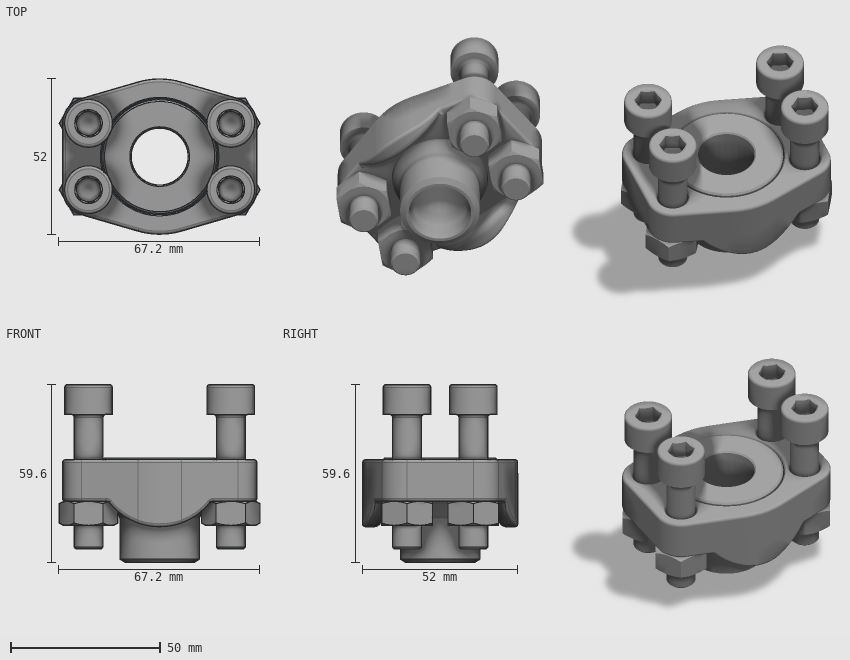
import cadquery as cq
import math

bolt_spacing_x = 47.6
bolt_spacing_y = 22.2

flange_length = 65.0
flange_width = 52.0
flange_thickness = 14.0
flange_edge_radius = 1.0
lobe_radius = 21.5
lobe_axis_z = -1.0
trough_half_width = 19.65
lobe_rounding = 2.5
lobe_blend_radius = 1.4
clearance_diameter = 10.5
clearance_chamfer = 0.5
pocket_diameter = 38.9
pocket_chamfer = 0.4
neck_hole_diameter = 32.15

ferrule_projection = 0.6
ferrule_length = 35.1
head_diameter = 38.1
head_thickness = 6.75
head_chamfer = 0.6
neck_diameter = 31.6
neck_end_z = -14.4
taper_end_z = -19.4
taper_blend_radius = 1.0
pipe_diameter = 26.7
pipe_bore = 20.9
throat_bore = 19.0
throat_length = 3.4
throat_chamfer = 0.5
bevel_width = 1.9
bevel_height = 1.2

screw_diameter = 9.73
screw_length = 45.0
screw_head_diameter = 16.0
screw_head_height = 10.0
screw_head_rounding = 1.0
screw_seat_z = 15.1
screw_neck_radius = 1.0
screw_tip_chamfer = 0.6
socket_flats = 8.0
socket_angle = 40.0
socket_depth = 6.0
socket_cone_slope = math.tan(math.radians(30))

nut_flats = 17.0
nut_height = 8.0
nut_chamfer_angle = 30.0

hex_corner_ratio = 2 / math.sqrt(3)
bolt_points = [
    (side_x * bolt_spacing_x / 2, side_y * bolt_spacing_y / 2)
    for side_x in (-1, 1)
    for side_y in (-1, 1)
]


def cylinder(diameter, z_bottom, z_top):
    return cq.Workplane("XY").workplane(offset=z_bottom).circle(diameter / 2).extrude(z_top - z_bottom)


def revolve_about_z(points):
    """Revolve a closed (radius, z) outline about the Z axis."""
    return cq.Workplane("XZ").polyline(points).close().revolve(360, (0, 0, 0), (0, 1, 0))


def hex_prism(flats, z_bottom, height):
    """Hexagonal prism with two corners on the X axis."""
    return cq.Workplane("XY").workplane(offset=z_bottom).polygon(6, flats * hex_corner_ratio).extrude(height)


def flange_outline(depth):
    """Large arcs at +Y and -Y joined by tangent lines to round corners centred on the bolts."""
    end_x = bolt_spacing_x / 2
    end_y = bolt_spacing_y / 2
    side_radius = flange_width / 2
    corner_radius = flange_length / 2 - end_x
    centre_distance = math.hypot(end_x, end_y)
    normal_angle = math.atan2(end_y, end_x) + math.acos((side_radius - corner_radius) / centre_distance)
    side_x = side_radius * math.cos(normal_angle)
    side_y = side_radius * math.sin(normal_angle)
    corner_x = end_x + corner_radius * math.cos(normal_angle)
    corner_y = end_y + corner_radius * math.sin(normal_angle)
    middle_x = end_x + corner_radius * math.cos(normal_angle / 2)
    middle_y = end_y + corner_radius * math.sin(normal_angle / 2)
    edge_x = flange_length / 2
    return (
        cq.Workplane("XY")
        .moveTo(edge_x, -end_y)
        .lineTo(edge_x, end_y)
        .threePointArc((middle_x, middle_y), (corner_x, corner_y))
        .lineTo(side_x, side_y)
        .threePointArc((0, side_radius), (-side_x, side_y))
        .lineTo(-corner_x, corner_y)
        .threePointArc((-middle_x, middle_y), (-edge_x, end_y))
        .lineTo(-edge_x, -end_y)
        .threePointArc((-middle_x, -middle_y), (-corner_x, -corner_y))
        .lineTo(-side_x, -side_y)
        .threePointArc((0, -side_radius), (side_x, -side_y))
        .lineTo(corner_x, -corner_y)
        .threePointArc((middle_x, -middle_y), (edge_x, -end_y))
        .close()
        .extrude(-depth)
    )


def flange_blank():
    """Outline with a flat underside and a bulge along Y, rounded along its outer edges."""
    slab = (
        cq.Workplane("XY")
        .rect(2 * flange_length, 2 * flange_width)
        .extrude(-flange_thickness)
    )
    bulge = cq.Workplane("XZ").center(0, lobe_axis_z).circle(lobe_radius).extrude(flange_width, both=True)
    blank = flange_outline(2 * lobe_radius).intersect(slab.union(bulge))
    bulge_junctions = cq.selectors.BoxSelector(
        (-lobe_radius, -1, -flange_thickness - 1),
        (lobe_radius, 1, 1 - flange_thickness),
    )
    blank = blank.edges(bulge_junctions).fillet(lobe_blend_radius)
    wall_ends = blank.edges("not |Z")
    outer_rims = wall_ends.edges(cq.selectors.InverseSelector(bulge_junctions))
    return outer_rims.fillet(flange_edge_radius)


def nut_trough():
    """Clear space between the lobes, below the flat underside, flared at the lobe edges."""
    arc_inset = lobe_rounding * (1 - math.sqrt(0.5))
    flare_end = trough_half_width + lobe_rounding
    spindle = (
        cq.Workplane("XY")
        .moveTo(0, -trough_half_width)
        .lineTo(lobe_radius - lobe_rounding, -trough_half_width)
        .threePointArc((lobe_radius - arc_inset, -trough_half_width - arc_inset), (lobe_radius, -flare_end))
        .lineTo(lobe_radius, flare_end)
        .threePointArc(
            (lobe_radius - arc_inset, trough_half_width + arc_inset),
            (lobe_radius - lobe_rounding, trough_half_width),
        )
        .lineTo(0, trough_half_width)
        .close()
        .revolve(360, (0, 0, 0), (0, 1, 0))
    )
    passage = cq.Workplane("XY").box(flange_length, 2 * trough_half_width, 2 * lobe_radius)
    trough = spindle.union(passage).translate((0, 0, lobe_axis_z))
    return trough.cut(cylinder(4 * lobe_radius, -flange_thickness, 2 * lobe_radius))


def bolt_clearance():
    hole_radius = clearance_diameter / 2
    return revolve_about_z([
        (0, -flange_thickness),
        (hole_radius, -flange_thickness),
        (hole_radius, -clearance_chamfer),
        (hole_radius + clearance_chamfer, 0),
        (0, 0),
    ])


def ferrule_seat():
    """Pocket for the ferrule head over the through hole for its neck."""
    pocket_radius = pocket_diameter / 2
    pocket_floor_z = ferrule_projection - head_thickness
    return revolve_about_z([
        (0, -flange_thickness),
        (neck_hole_diameter / 2, -flange_thickness),
        (neck_hole_diameter / 2, pocket_floor_z),
        (pocket_radius, pocket_floor_z),
        (pocket_radius, -pocket_chamfer),
        (pocket_radius + pocket_chamfer, 0),
        (0, 0),
    ])


def make_flange():
    flange = flange_blank().cut(nut_trough()).cut(ferrule_seat())
    for x, y in bolt_points:
        flange = flange.cut(bolt_clearance().translate((x, y, 0)))
    return flange


def make_ferrule():
    top_z = ferrule_projection
    bottom_z = top_z - ferrule_length
    head_underside_z = top_z - head_thickness
    head_radius = head_diameter / 2
    neck_radius = neck_diameter / 2
    pipe_radius = pipe_diameter / 2
    throat_radius = throat_bore / 2
    body = revolve_about_z([
        (0, top_z),
        (head_radius - head_chamfer, top_z),
        (head_radius, top_z - head_chamfer),
        (head_radius, head_underside_z),
        (neck_radius, head_underside_z),
        (neck_radius, neck_end_z),
        (pipe_radius, taper_end_z),
        (pipe_radius, bottom_z + bevel_height),
        (pipe_radius - bevel_width, bottom_z),
        (0, bottom_z),
    ])
    taper_ends = cq.selectors.BoxSelector(
        (-1, -1, taper_end_z - 1),
        (1, 1, neck_end_z + 1),
    )
    body = body.edges("%CIRCLE").edges(taper_ends).fillet(taper_blend_radius)
    bore = revolve_about_z([
        (0, top_z),
        (throat_radius + throat_chamfer, top_z),
        (throat_radius, top_z - throat_chamfer),
        (throat_radius, top_z - throat_length),
        (pipe_bore / 2, taper_end_z),
        (pipe_bore / 2, bottom_z),
        (0, bottom_z),
    ])
    return body.cut(bore)


def screw_socket():
    """Hexagonal socket with a chamfered mouth and a conical bottom, opening at Z = 0."""
    socket_radius = socket_flats / 2
    mouth_radius = socket_radius * hex_corner_ratio
    mouth_depth = (mouth_radius - socket_radius) * socket_cone_slope
    mouth = revolve_about_z([(0, 0), (mouth_radius, 0), (socket_radius, -mouth_depth), (0, -mouth_depth)])
    drill_tip = revolve_about_z([
        (0, -socket_depth),
        (socket_radius, -socket_depth),
        (0, -socket_depth - socket_radius * socket_cone_slope),
    ])
    hexagon = hex_prism(socket_flats, -socket_depth, socket_depth).rotate((0, 0, 0), (0, 0, 1), socket_angle)
    return hexagon.union(mouth).union(drill_tip)


def make_screw():
    shank_radius = screw_diameter / 2
    head_radius = screw_head_diameter / 2
    head_top_z = screw_seat_z + screw_head_height
    tip_z = screw_seat_z - screw_length
    neck_inset = screw_neck_radius * (1 - math.sqrt(0.5))
    rounding_inset = screw_head_rounding * (1 - math.sqrt(0.5))
    body = (
        cq.Workplane("XZ")
        .moveTo(0, tip_z)
        .lineTo(shank_radius - screw_tip_chamfer, tip_z)
        .lineTo(shank_radius, tip_z + screw_tip_chamfer)
        .lineTo(shank_radius, screw_seat_z - screw_neck_radius)
        .threePointArc(
            (shank_radius + neck_inset, screw_seat_z - neck_inset),
            (shank_radius + screw_neck_radius, screw_seat_z),
        )
        .lineTo(head_radius, screw_seat_z)
        .lineTo(head_radius, head_top_z - screw_head_rounding)
        .threePointArc(
            (head_radius - rounding_inset, head_top_z - rounding_inset),
            (head_radius - screw_head_rounding, head_top_z),
        )
        .lineTo(0, head_top_z)
        .close()
        .revolve(360, (0, 0, 0), (0, 1, 0))
    )
    return body.cut(screw_socket().translate((0, 0, head_top_z)))


def make_nut():
    top_z = -flange_thickness
    bottom_z = top_z - nut_height
    flat_radius = nut_flats / 2
    corner_radius = flat_radius * hex_corner_ratio
    chamfer_height = (corner_radius - flat_radius) * math.tan(math.radians(nut_chamfer_angle))
    envelope = revolve_about_z([
        (0, bottom_z),
        (flat_radius, bottom_z),
        (corner_radius, bottom_z + chamfer_height),
        (corner_radius, top_z - chamfer_height),
        (flat_radius, top_z),
        (0, top_z),
    ])
    thread_hole = cylinder(screw_diameter, bottom_z, top_z)
    return hex_prism(nut_flats, bottom_z, nut_height).intersect(envelope).cut(thread_hole)


flange = make_flange()
ferrule = make_ferrule()
screws = [make_screw().translate((x, y, 0)) for x, y in bolt_points]
nuts = [make_nut().translate((x, y, 0)) for x, y in bolt_points]

result = cq.Compound.makeCompound([
    flange.val(),
    ferrule.val(),
    *[screw.val() for screw in screws],
    *[nut.val() for nut in nuts],
])